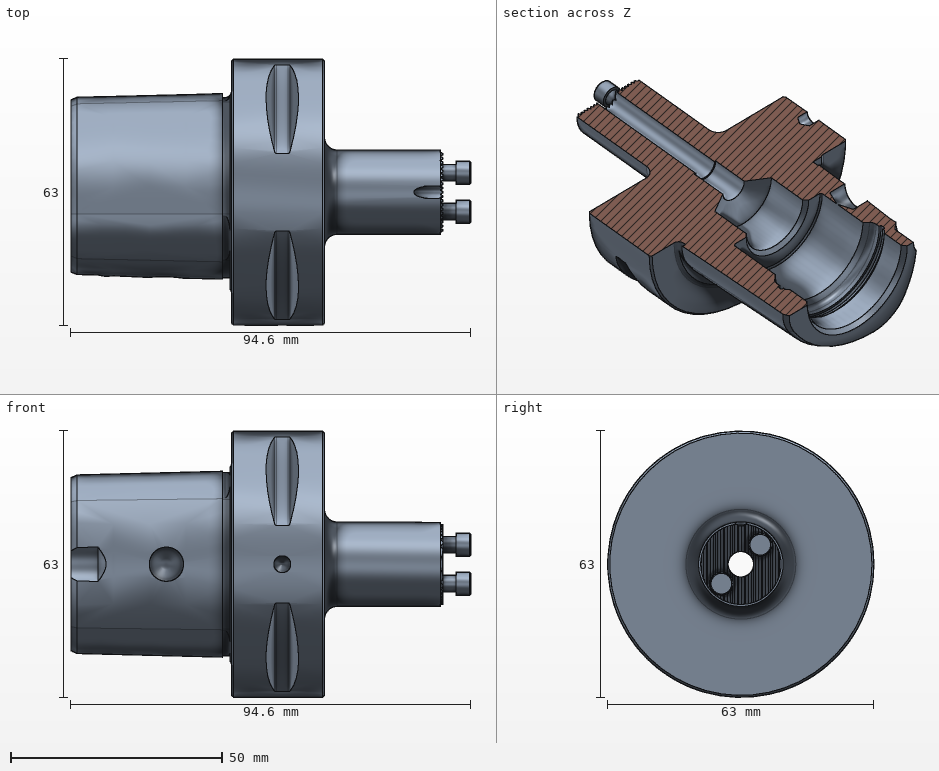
import cadquery as cq
import math


FLANGE_DIA = 63.0
FLANGE_LENGTH = 22.0
FLANGE_CHAMFER = 0.5
FLANGE_MID = 12.0
INDEX_HOLE_DIA = 4.0
INDEX_HOLE_DEPTH = 3.0

SLOT_COUNT = 4
SLOT_FIRST_ANGLE = 45.0
SLOT_FLOOR_RADIUS = 27.8
SLOT_FLOOR_WIDTH = 3.4
SLOT_WALL_ANGLE = 30.0
SLOT_CORNER_RADIUS = 0.5

SHANK_LENGTH = 38.0
LOBE_RADIUS = 13.0
FLANK_RADIUS = 31.0
LOBE_CENTER_RADIUS = (FLANK_RADIUS - LOBE_RADIUS) / math.sqrt(3)
LOBE_HALF_ANGLE = 30.0
LOBE_SPACING = 120.0
SHANK_TAPER = math.degrees(math.atan(1 / 40))
TIP_CHAMFER_LENGTH = 1.5
TIP_CHAMFER_ANGLE = 25.0

RELIEF_LENGTH = 2.1
RELIEF_OFFSET = 0.3
RELIEF_DIA = 44.8
RELIEF_FILLET = 1.6
SEAT_THICKNESS = 0.4

MOUTH_DIA = 32.0
MOUTH_CHAMFER_LENGTH = 1.2
FRONT_BORE_DIA = 30.2
GROOVE_START = 7.1
GROOVE_END = 12.3
GROOVE_HEIGHT = 0.8
GROOVE_RUNOUT = 1.5
RING_GROOVE_START = 8.5
RING_GROOVE_END = 9.7
RING_GROOVE_HEIGHT = 0.6
REAR_BORE_DIA = 28.0
REAR_BORE_CHAMFER_HEIGHT = (FRONT_BORE_DIA - REAR_BORE_DIA) / 2
BORE_FLOOR_X = -10.0
FLOOR_LEDGE_DIA = 27.2
PILOT_DIA = 18.0
PILOT_CHAMFER = 1.0
PILOT_DEPTH = 12.0
COOLANT_ENTRY_DIA = 6.8
COOLANT_ENTRY_DEPTH = 10.0
COOLANT_DIA = 6.0
DRILL_HALF_ANGLE = 59.0

NOTCH_DIA = 12.0
NOTCH_DEPTH = 6.4
NOTCH_AXIS_Y = -24.0
NOTCH_POINT_HALF_ANGLE = 45.0
LOCATING_HOLE_DIA = 8.1
LOCATING_HOLE_X = -15.4
LOCATING_HOLE_FLOOR = 15.6
LOCATING_POINT_HALF_ANGLE = 70.0

NOSE_DIA = 20.0
NOSE_END_X = 50.0
NOSE_FILLET = 3.0
SERRATION_DIA = 19.0
SERRATION_HEIGHT = 0.6
SERRATION_PITCH = 1.0
SERRATION_HALF_WIDTH = 0.35

OUTLET_DIA = 3.0
OUTLET_ANGLE = 18.0
OUTLET_SURFACE_X = 48.0

SCREW_OFFSET = 4.6
SCREW_DIA = 4.0
SCREW_HEAD_DIA = 5.5
SCREW_HEAD_LENGTH = 3.5
SCREW_HEAD_CHAMFER = 0.3
SCREW_END_X = 56.6
SCREW_DEPTH = 8.0


def polar(center, radius, angle):
    """Point at the given radius and angle (degrees) from a centre."""
    a = math.radians(angle)
    return (center[0] + radius * math.cos(a), center[1] + radius * math.sin(a))


def revolve_about_x(points):
    """Solid of revolution from a closed (x, radius) outline."""
    outline = cq.Workplane("XY").polyline(points).close()
    return outline.revolve(360, (0, 0, 0), (1, 0, 0))


def polygon_outline(x, offset):
    """Shank outline at the given X, shrunk inwards by the offset. Local axes are Y and Z."""
    lobe = LOBE_RADIUS - offset
    flank = FLANK_RADIUS - offset
    start = polar((LOBE_CENTER_RADIUS, 0), lobe, -LOBE_HALF_ANGLE)
    outline = cq.Workplane("YZ", origin=(x, 0, 0)).moveTo(*start)
    for lobe_index in range(3):
        turn = lobe_index * LOBE_SPACING
        lobe_center = polar((0, 0), LOBE_CENTER_RADIUS, turn)
        flank_center = polar((0, 0), LOBE_CENTER_RADIUS, turn - LOBE_SPACING)
        outline = outline.threePointArc(
            polar(lobe_center, lobe, turn),
            polar(lobe_center, lobe, turn + LOBE_HALF_ANGLE),
        )
        outline = outline.threePointArc(
            polar(flank_center, flank, turn + LOBE_SPACING / 2),
            polar(flank_center, flank, turn + LOBE_SPACING - LOBE_HALF_ANGLE),
        )
    return outline.close()


def make_shank():
    taper_end = TIP_CHAMFER_LENGTH - SHANK_LENGTH
    taper_length = -RELIEF_LENGTH - taper_end
    taper_offset = taper_length * math.tan(math.radians(SHANK_TAPER))
    body = polygon_outline(-RELIEF_LENGTH, 0).extrude(-taper_length, taper=SHANK_TAPER)
    tip = polygon_outline(taper_end, taper_offset).extrude(-TIP_CHAMFER_LENGTH, taper=TIP_CHAMFER_ANGLE)
    return body.union(tip)


def make_relief():
    """Short neck turned down at the lobes, blending into the flange face."""
    radius = RELIEF_DIA / 2
    blend = RELIEF_FILLET * (1 - math.sqrt(0.5))
    turned = (
        cq.Workplane("XY")
        .moveTo(-RELIEF_LENGTH, 0)
        .lineTo(-RELIEF_LENGTH, radius)
        .lineTo(-RELIEF_FILLET, radius)
        .threePointArc((-blend, radius + blend), (0, radius + RELIEF_FILLET))
        .lineTo(0, 0)
        .close()
        .revolve(360, (0, 0, 0), (1, 0, 0))
    )
    seat = cq.Workplane("YZ", origin=(-SEAT_THICKNESS, 0, 0)).circle(FLANGE_DIA / 2).extrude(SEAT_THICKNESS)
    neck = polygon_outline(-RELIEF_LENGTH, RELIEF_OFFSET).extrude(RELIEF_LENGTH)
    return turned.intersect(neck.union(seat))


def make_flange():
    disc = cq.Workplane("YZ").circle(FLANGE_DIA / 2).extrude(FLANGE_LENGTH)
    return disc.edges().chamfer(FLANGE_CHAMFER)


def make_nose():
    radius = NOSE_DIA / 2
    root = FLANGE_LENGTH
    shoulder = NOSE_END_X - SERRATION_HEIGHT
    blend = NOSE_FILLET * (1 - math.sqrt(0.5))
    return (
        cq.Workplane("XY")
        .moveTo(root, 0)
        .lineTo(root, radius + NOSE_FILLET)
        .threePointArc((root + blend, radius + blend), (root + NOSE_FILLET, radius))
        .lineTo(shoulder, radius)
        .lineTo(shoulder, SERRATION_DIA / 2)
        .lineTo(NOSE_END_X, SERRATION_DIA / 2)
        .lineTo(NOSE_END_X, 0)
        .close()
        .revolve(360, (0, 0, 0), (1, 0, 0))
    )


def make_serration_cuts():
    """V grooves along Z across the end face of the nose."""
    count = int(SERRATION_DIA / SERRATION_PITCH) + 1
    groove = (
        cq.Workplane("XY")
        .polyline([
            (NOSE_END_X, -SERRATION_HALF_WIDTH),
            (NOSE_END_X - SERRATION_HEIGHT, 0),
            (NOSE_END_X, SERRATION_HALF_WIDTH),
        ])
        .close()
        .extrude(NOSE_DIA / 2, both=True)
    )
    cuts = cq.Workplane("XY")
    for i in range(count):
        cuts = cuts.add(groove.translate((0, (i - (count - 1) / 2) * SERRATION_PITCH, 0)))
    return cuts


def make_bore():
    """Stepped bore through the whole body, opening at the shank tip."""
    tip = -SHANK_LENGTH
    front = FRONT_BORE_DIA / 2
    rear = REAR_BORE_DIA / 2
    groove_radius = front + GROOVE_HEIGHT
    ring_radius = groove_radius + RING_GROOVE_HEIGHT
    runout_start = tip + GROOVE_END - GROOVE_RUNOUT
    ledge_step = rear - FLOOR_LEDGE_DIA / 2
    drill_tip = (PILOT_DIA - COOLANT_ENTRY_DIA) / 2 / math.tan(math.radians(DRILL_HALF_ANGLE))
    pilot_end = BORE_FLOOR_X + PILOT_DEPTH
    entry_end = pilot_end + drill_tip + COOLANT_ENTRY_DEPTH
    return (
        cq.Workplane("XY")
        .moveTo(tip, 0)
        .lineTo(tip, MOUTH_DIA / 2)
        .lineTo(tip + MOUTH_CHAMFER_LENGTH, front)
        .lineTo(tip + GROOVE_START, front)
        .lineTo(tip + GROOVE_START + GROOVE_HEIGHT, groove_radius)
        .lineTo(tip + RING_GROOVE_START, groove_radius)
        .lineTo(tip + RING_GROOVE_START, ring_radius)
        .lineTo(tip + RING_GROOVE_END, ring_radius)
        .lineTo(tip + RING_GROOVE_END, groove_radius)
        .lineTo(runout_start, groove_radius)
        .tangentArcPoint((tip + GROOVE_END, front), relative=False)
        .lineTo(tip + GROOVE_END + REAR_BORE_CHAMFER_HEIGHT, rear)
        .lineTo(BORE_FLOOR_X - ledge_step, rear)
        .lineTo(BORE_FLOOR_X, rear - ledge_step)
        .lineTo(BORE_FLOOR_X, PILOT_DIA / 2 + PILOT_CHAMFER)
        .lineTo(BORE_FLOOR_X + PILOT_CHAMFER, PILOT_DIA / 2)
        .lineTo(pilot_end, PILOT_DIA / 2)
        .lineTo(pilot_end + drill_tip, COOLANT_ENTRY_DIA / 2)
        .lineTo(entry_end, COOLANT_ENTRY_DIA / 2)
        .lineTo(entry_end, COOLANT_DIA / 2)
        .lineTo(NOSE_END_X, COOLANT_DIA / 2)
        .lineTo(NOSE_END_X, 0)
        .close()
        .revolve(360, (0, 0, 0), (1, 0, 0))
    )


def drill_along_x(diameter, depth, half_angle=DRILL_HALF_ANGLE):
    """Drill shape with a conical point, its flat end at the origin, pointing to +X."""
    radius = diameter / 2
    point = radius / math.tan(math.radians(half_angle))
    return revolve_about_x([(0, 0), (0, radius), (depth, radius), (depth + point, 0)])


def drill_along_y(diameter, depth, half_angle=DRILL_HALF_ANGLE):
    """The same drill shape pointing to +Y."""
    return drill_along_x(diameter, depth, half_angle).rotate((0, 0, 0), (0, 0, 1), 90)


def make_notch():
    drill = drill_along_x(NOTCH_DIA, NOTCH_DEPTH, NOTCH_POINT_HALF_ANGLE)
    return drill.translate((-SHANK_LENGTH, NOTCH_AXIS_Y, 0))


def make_locating_hole():
    entry = FLANGE_DIA / 2
    drill = drill_along_y(LOCATING_HOLE_DIA, entry - LOCATING_HOLE_FLOOR, LOCATING_POINT_HALF_ANGLE)
    return drill.translate((LOCATING_HOLE_X, -entry, 0))


def make_index_hole():
    return drill_along_y(INDEX_HOLE_DIA, INDEX_HOLE_DEPTH).translate((FLANGE_MID, -FLANGE_DIA / 2, 0))


def make_slot_cuts():
    rim = FLANGE_DIA / 2
    floor_half = SLOT_FLOOR_WIDTH / 2
    top_half = floor_half + (rim - SLOT_FLOOR_RADIUS) * math.tan(math.radians(SLOT_WALL_ANGLE))
    slot = (
        cq.Workplane("XZ")
        .polyline([
            (FLANGE_MID - top_half, rim),
            (FLANGE_MID - floor_half, SLOT_FLOOR_RADIUS),
            (FLANGE_MID + floor_half, SLOT_FLOOR_RADIUS),
            (FLANGE_MID + top_half, rim),
        ])
        .close()
        .extrude(rim, both=True)
        .faces("<Z")
        .edges("|Y")
        .fillet(SLOT_CORNER_RADIUS)
    )
    cuts = cq.Workplane("XY")
    for i in range(SLOT_COUNT):
        cuts = cuts.add(slot.rotate((0, 0, 0), (1, 0, 0), SLOT_FIRST_ANGLE + i * 360 / SLOT_COUNT))
    return cuts


def make_coolant_outlet():
    slope = math.radians(OUTLET_ANGLE)
    surface = NOSE_DIA / 2
    start_x = OUTLET_SURFACE_X - surface / math.tan(slope)
    length = 2 * surface / math.sin(slope)
    return (
        cq.Workplane("YZ")
        .circle(OUTLET_DIA / 2)
        .extrude(length)
        .rotate((0, 0, 0), (0, 1, 0), -OUTLET_ANGLE)
        .translate((start_x, 0, 0))
    )


def make_screw(y, z):
    start = NOSE_END_X - SCREW_DEPTH
    head_start = SCREW_END_X - SCREW_HEAD_LENGTH
    shaft = cq.Workplane("YZ", origin=(start, y, z)).circle(SCREW_DIA / 2).extrude(head_start - start)
    head = cq.Workplane("YZ", origin=(head_start, y, z)).circle(SCREW_HEAD_DIA / 2).extrude(SCREW_HEAD_LENGTH)
    head = head.faces(">X").edges().chamfer(SCREW_HEAD_CHAMFER)
    return shaft.union(head)


def cut_each(body, cutters):
    for cutter in cutters.vals():
        body = body.cut(cq.Workplane(cutter))
    return body


screws = cq.Workplane("XY")
for side in (1, -1):
    screws = screws.add(make_screw(side * SCREW_OFFSET, side * SCREW_OFFSET))

housing = make_flange().union(make_relief()).union(make_shank()).union(make_nose())
housing = housing.cut(make_bore())
housing = housing.cut(make_notch()).cut(make_locating_hole()).cut(make_index_hole())
housing = cut_each(housing, make_slot_cuts())
housing = housing.cut(make_coolant_outlet())
housing = cut_each(housing, make_serration_cuts())
housing = cut_each(housing, screws)

result = cq.Compound.makeCompound([housing.val(), *screws.vals()])